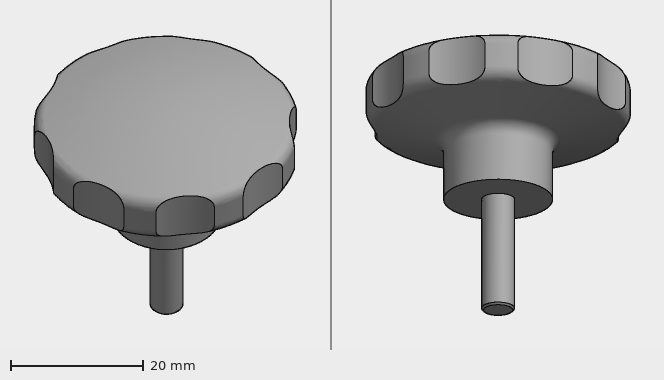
import cadquery as cq
import math

total_height = 40.0

stud_diameter = 5.0
stud_length = 18.0
stud_chamfer = 0.3

hub_radius = 8.25
hub_fillet = 2.0
hub_straight_height = 7.5

head_radius = 20.0
head_top = total_height - stud_length
rim_fillet = 2.0
underside_angle = math.radians(14.5)
dome_radius = 66.0

grip_count = 9
grip_radius = 11.5
grip_depth = 1.4
first_grip_angle = -90.0


def point_on_circle(center, radius, angle):
    """Point (r, z) at an angle measured from the outward radial direction."""
    r, z = center
    return (r + radius * math.cos(angle), z + radius * math.sin(angle))


def make_knob_body():
    """Revolve the hub, conical underside, rounded rim and dome as one profile."""
    hub_center = (hub_radius + hub_fillet, hub_straight_height)
    cone_normal = math.pi / 2 + underside_angle
    hub_fillet_mid = point_on_circle(hub_center, hub_fillet, (math.pi + cone_normal) / 2)
    cone_start = point_on_circle(hub_center, hub_fillet, cone_normal)

    rim_center_r = head_radius - rim_fillet
    center_run = rim_center_r - hub_center[0]
    center_offset = (hub_fillet + rim_fillet) / math.cos(underside_angle)
    lower_center = (
        rim_center_r,
        hub_straight_height + center_run * math.tan(underside_angle) + center_offset,
    )
    lower_angle = underside_angle - math.pi / 2
    cone_end = point_on_circle(lower_center, rim_fillet, lower_angle)
    lower_mid = point_on_circle(lower_center, rim_fillet, lower_angle / 2)

    dome_center = (0, head_top - dome_radius)
    upper_angle = math.acos(rim_center_r / (dome_radius - rim_fillet))
    upper_center = point_on_circle(dome_center, dome_radius - rim_fillet, upper_angle)
    upper_mid = point_on_circle(upper_center, rim_fillet, upper_angle / 2)
    dome_edge = point_on_circle(dome_center, dome_radius, upper_angle)
    dome_mid = point_on_circle(dome_center, dome_radius, (upper_angle + math.pi / 2) / 2)

    profile = (
        cq.Workplane("XZ")
        .moveTo(0, 0)
        .lineTo(hub_radius, 0)
        .lineTo(hub_radius, hub_straight_height)
        .threePointArc(hub_fillet_mid, cone_start)
        .lineTo(*cone_end)
        .threePointArc(lower_mid, (head_radius, lower_center[1]))
        .lineTo(head_radius, upper_center[1])
        .threePointArc(upper_mid, dome_edge)
        .threePointArc(dome_mid, (0, head_top))
        .close()
    )
    return profile.revolve(360, (0, 0, 0), (0, 1, 0))


def make_grip_cutters():
    """Vertical cylinders that scallop the rim into finger grips."""
    return (
        cq.Workplane("XY")
        .polarArray(head_radius - grip_depth + grip_radius, first_grip_angle, 360, grip_count)
        .circle(grip_radius)
        .extrude(head_top)
    )


def make_stud():
    """Plain shank below the hub with a chamfered tip."""
    return (
        cq.Workplane("XY")
        .circle(stud_diameter / 2)
        .extrude(-stud_length)
        .faces("<Z")
        .chamfer(stud_chamfer)
    )


result = make_knob_body().cut(make_grip_cutters()).union(make_stud())